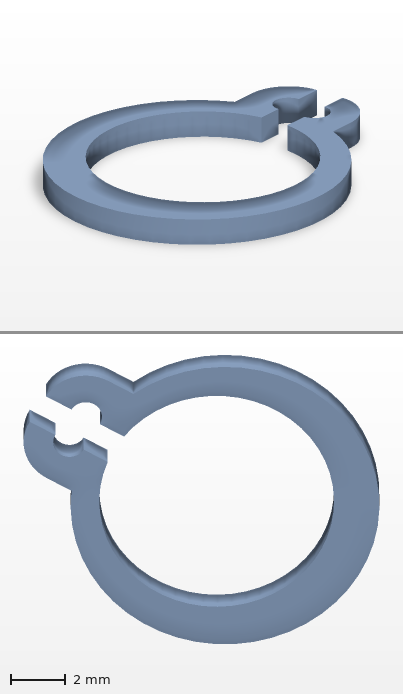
import cadquery as cq

total_length = 13.56
thickness = 1.0
outer_radius = 5.65
bore_radius = 4.3
bore_offset = 0.35
gap_width = 1.2
lug_radius = 1.68
plier_hole_radius = 0.6

outer_center_y = -bore_offset
lug_top_y = outer_center_y - outer_radius + total_length
lug_center_x = gap_width / 2
lug_center_y = lug_top_y - lug_radius


def cylinder(radius, x, y):
    return cq.Workplane("XY").center(x, y).circle(radius).extrude(thickness)


def box(width, bottom_y, top_y):
    """Plate symmetric about the YZ plane, spanning bottom_y to top_y."""
    height = top_y - bottom_y
    return (
        cq.Workplane("XY")
        .center(0, bottom_y + height / 2)
        .rect(width, height)
        .extrude(thickness)
    )


lug_span = gap_width + 2 * lug_radius
body = cylinder(outer_radius, 0, outer_center_y)
body = body.union(box(lug_span, 0, lug_center_y))

for side in (-1, 1):
    body = body.union(cylinder(lug_radius, side * lug_center_x, lug_center_y))

body = body.cut(cylinder(bore_radius, 0, 0))
body = body.cut(box(gap_width, 0, lug_top_y))

for side in (-1, 1):
    body = body.cut(cylinder(plier_hole_radius, side * lug_center_x, lug_center_y))

result = body